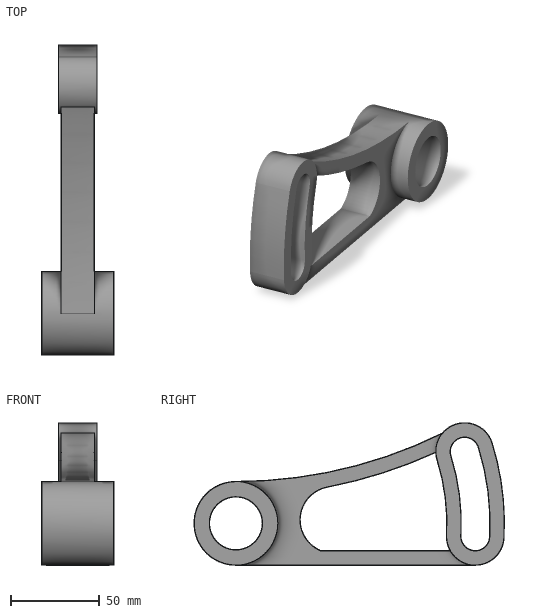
import cadquery as cq
import math


boss_radius = 23.7
bore_radius = 14.9
boss_width = 40.7

pad_radius = 16.3
wall = 8.2
slot_radius = pad_radius - wall
pad_width = 22.0
overall_length = 175.4
overall_height = 80.5
slot_path_radius = overall_length - boss_radius - pad_radius
slot_low_z = pad_radius - boss_radius
slot_high_z = overall_height - boss_radius - pad_radius

arm_width = 18.8
top_edge_radius = 263
top_edge_center_z = boss_radius + top_edge_radius
arm_top_end_y = 118.4

window_floor_z = -boss_radius + wall
window_roof_radius = top_edge_radius + wall
window_end_radius = 18.8
window_end_y = 55.0
tangent_distance = window_roof_radius + window_end_radius
window_end_z = top_edge_center_z - math.sqrt(tangent_distance**2 - window_end_y**2)
window_tangent_y = window_end_y * window_roof_radius / tangent_distance


def slot_path_point(z):
    """Point at height z on the slot path, which is a circle about the pivot axis."""
    return (math.sqrt(slot_path_radius**2 - z**2), z)


def top_curve_point(y, radius):
    """Point at position y on a curve concentric with the arm's top edge."""
    return (y, top_edge_center_z - math.sqrt(radius**2 - y**2))


def extrude_both(profile, width):
    return profile.extrude(width / 2, both=True)


def disc(center, radius, width):
    return extrude_both(cq.Workplane("YZ").center(*center).circle(radius), width)


def curved_slot(end_radius, width):
    """Round-ended band that follows the slot path."""
    low = slot_path_point(slot_low_z)
    high = slot_path_point(slot_high_z)
    low_angle = math.atan2(low[1], low[0])
    high_angle = math.atan2(high[1], high[0])
    middle_angle = (low_angle + high_angle) / 2

    def polar(radius, angle):
        return (radius * math.cos(angle), radius * math.sin(angle))

    inner = slot_path_radius - end_radius
    outer = slot_path_radius + end_radius
    band = (
        cq.Workplane("YZ")
        .moveTo(*polar(inner, low_angle))
        .threePointArc(polar(inner, middle_angle), polar(inner, high_angle))
        .lineTo(*polar(outer, high_angle))
        .threePointArc(polar(outer, middle_angle), polar(outer, low_angle))
        .close()
    )
    body = extrude_both(band, width)
    for center in (low, high):
        body = body.union(disc(center, end_radius, width))
    return body


def bar_outline(floor_z, start_y, top_radius):
    """Region from a flat floor up to a curve concentric with the arm's top edge."""
    pad_low_y = slot_path_point(slot_low_z)[0]
    return (
        cq.Workplane("YZ")
        .moveTo(pad_low_y, floor_z)
        .lineTo(start_y, floor_z)
        .lineTo(*top_curve_point(start_y, top_radius))
        .threePointArc(
            top_curve_point((start_y + arm_top_end_y) / 2, top_radius),
            top_curve_point(arm_top_end_y, top_radius),
        )
        .close()
    )


def window():
    """Region beyond the roof's tangent point, plus the part of the end disc between the bars."""
    main = extrude_both(bar_outline(window_floor_z, window_tangent_y, window_roof_radius), arm_width)
    between_bars = extrude_both(bar_outline(window_floor_z, 0, window_roof_radius), arm_width)
    round_end = disc((window_end_y, window_end_z), window_end_radius, arm_width)
    return main.union(round_end.intersect(between_bars))


arm = extrude_both(bar_outline(-boss_radius, 0, top_edge_radius), arm_width).cut(window())
boss = disc((0, 0), boss_radius, boss_width)
pad = curved_slot(pad_radius, pad_width)
bore = disc((0, 0), bore_radius, boss_width)
slot = curved_slot(slot_radius, pad_width)

result = arm.union(boss).union(pad).cut(bore).cut(slot)